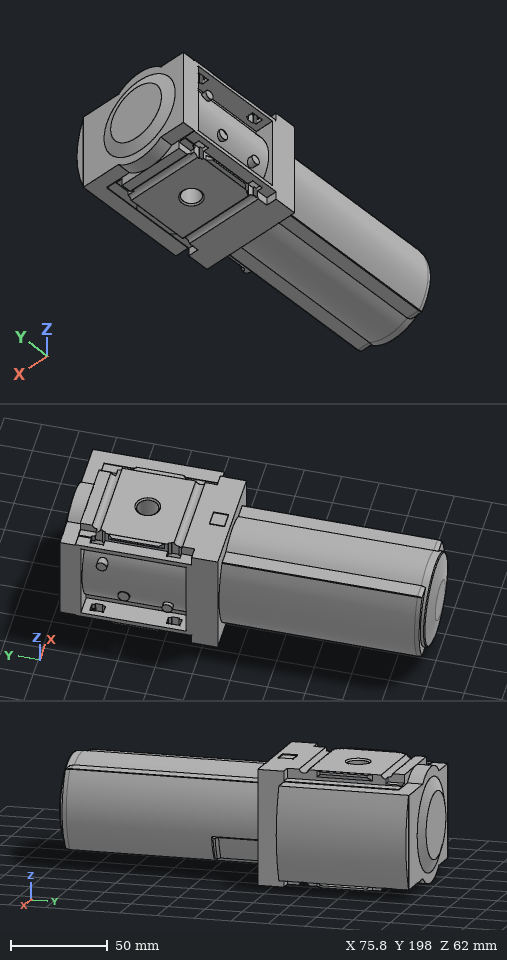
import cadquery as cq
import math


BODY_WIDTH = 62.0
HALF_WIDTH = BODY_WIDTH / 2
FRAME_BACK = 31.0
FRAME_FRONT = -31.0
COLLAR_FRONT = -45.0
FRAME_HALF_HEIGHT = 25.7
BLOCK_HALF_WIDTH = 24.4

PLATE_BACK = 39.3
PLATE_HALF_HEIGHT = 25.3
COVER_BACK = 39.0
COVER_EDGE_X = 40.0
COVER_CROWN_X = 44.8
BUMP_HALF_WIDTH = 15.0

DOME_DIAMETER = 50.4
DOME_BACK = 42.0
DOME_TIP_RADIUS = 18.0

GROOVE_Y = 22.1
GROOVE_HALF_WIDTH = 2.5
GROOVE_DEPTH = 2.0
CORNER_INNER_X = 20.2
CORNER_FLOOR_Z = 26.4
PORT_DIAMETER = 11.45
PORT_MOUTH_DIAMETER = 13.2
PORT_DEPTH = 14.0
LABEL_WIDTH = 8.8
LABEL_LENGTH = 8.0
LABEL_Y = -38.0
LABEL_DEPTH = 0.5

RIB_REACH = 2.6
RIB_TOP_Z = 30.9
RIB_EDGE_Z = 29.7
RIB_BASE_Z = 27.5
RIB_HALF_LENGTH = 15.0
RIB_END_SLOPE = 2.4

SLOT_CENTRE_Y = 20.4
SLOT_LENGTH = 7.2
SLOT_OUTER_X = -27.7
SLOT_INNER_X = -23.3
SLOT_NECK_LENGTH = 4.0
SLOT_NECK_X = -22.5

WINDOW_BACK = 28.0
WINDOW_FRONT = -28.2
WINDOW_HALF_HEIGHT = 23.1
WINDOW_WALL_X = -19.5
CORE_RADIUS = 28.4
PIN_DIAMETER = 5.5
PIN_TIP_X = -29.2
STUD_DIAMETER = 6.2
STUD_TIP_X = -28.2
PINS = [
    (17.5, 11.0, PIN_DIAMETER, PIN_TIP_X),
    (-17.5, -11.0, PIN_DIAMETER, PIN_TIP_X),
    (5.9, -8.65, STUD_DIAMETER, STUD_TIP_X),
]

KNOB_RADIUS = 25.5
KNOB_TIP_Y = -156.0
CAP_DIAMETER = 50.4
CAP_RIM_Y = -153.9
CAP_BEVEL_Y = -153.3
CAP_START_Y = -149.2
CAP_RIM_RADIUS = 24.7
CAP_FLAT_RADIUS = 10.8
GRIP_END_Y = -151.6
GRIP_TAPER = 0.5
GRIP_HALF_WIDTH = 28.3
GRIP_CORNER_X = 21.8
GRIP_HALF_HEIGHT = 21.7
GRIP_EDGE_BREAK = 0.3

LATCH_TOP_Z = -7.5
LATCH_BOTTOM_Z = -19.4
LATCH_THICKNESS = 1.4
LATCH_TIP_HEIGHT = 3.2
LATCH_TIP_BACK_Y = -66.8
LATCH_TIP_LENGTH = 3.8
LATCH_TIP_SLOPE = 1.3
LATCH_EMBED = 2.0


def block(x0, x1, y0, y1, z0, z1):
    """Box between two opposite corners."""
    return cq.Workplane("XY").box(x1 - x0, y1 - y0, z1 - z0, centered=False).translate((x0, y0, z0))


def along_y(profile, y0, y1):
    """Extrude an outline drawn in X and Z from y0 up to y1."""
    return profile.extrude(-(y1 - y0)).translate((0, y0, 0))


def both_faces(shape):
    """The shape together with its mirror image about the XY plane."""
    return shape.union(shape.mirror("XY"))


def both_sides(shape):
    """The shape together with its mirror image about the YZ plane."""
    return shape.union(shape.mirror("YZ"))


def make_frame():
    frame = block(-HALF_WIDTH, HALF_WIDTH, FRAME_FRONT, FRAME_BACK, -FRAME_HALF_HEIGHT, FRAME_HALF_HEIGHT)
    collar = block(-HALF_WIDTH, HALF_WIDTH, COLLAR_FRONT, FRAME_FRONT, -HALF_WIDTH, HALF_WIDTH)
    middle = block(
        -BLOCK_HALF_WIDTH, BLOCK_HALF_WIDTH, FRAME_FRONT, FRAME_BACK, -HALF_WIDTH, HALF_WIDTH
    )
    return frame.union(collar).union(middle)


def make_back_plate():
    plate = block(-HALF_WIDTH, COVER_EDGE_X, FRAME_BACK, PLATE_BACK, -PLATE_HALF_HEIGHT, PLATE_HALF_HEIGHT)
    bump = (
        cq.Workplane("XZ")
        .moveTo(-BUMP_HALF_WIDTH, 0)
        .lineTo(-BUMP_HALF_WIDTH, PLATE_HALF_HEIGHT)
        .threePointArc((0, HALF_WIDTH), (BUMP_HALF_WIDTH, PLATE_HALF_HEIGHT))
        .lineTo(BUMP_HALF_WIDTH, 0)
        .close()
    )
    return plate.union(both_faces(along_y(bump, FRAME_BACK, PLATE_BACK)))


def make_cover():
    flank = block(
        HALF_WIDTH, COVER_EDGE_X, FRAME_FRONT, PLATE_BACK, -PLATE_HALF_HEIGHT, PLATE_HALF_HEIGHT
    )
    crown = (
        cq.Workplane("XZ")
        .moveTo(HALF_WIDTH, -PLATE_HALF_HEIGHT)
        .lineTo(COVER_EDGE_X, -PLATE_HALF_HEIGHT)
        .threePointArc((COVER_CROWN_X, 0), (COVER_EDGE_X, PLATE_HALF_HEIGHT))
        .lineTo(HALF_WIDTH, PLATE_HALF_HEIGHT)
        .close()
    )
    return flank.union(along_y(crown, FRAME_FRONT, COVER_BACK))


def make_back_dome():
    base_radius = DOME_DIAMETER / 2
    return (
        cq.Workplane("XY")
        .moveTo(0, FRAME_BACK)
        .lineTo(base_radius, FRAME_BACK)
        .lineTo(base_radius, PLATE_BACK)
        .lineTo(DOME_TIP_RADIUS, DOME_BACK)
        .lineTo(0, DOME_BACK)
        .close()
        .revolve(360, (0, 0, 0), (0, 1, 0))
    )


def make_grooves():
    grooves = cq.Workplane("YZ")
    for y in (-GROOVE_Y, GROOVE_Y):
        groove = (
            cq.Workplane("YZ")
            .moveTo(y - GROOVE_HALF_WIDTH, HALF_WIDTH)
            .threePointArc((y, HALF_WIDTH - GROOVE_DEPTH), (y + GROOVE_HALF_WIDTH, HALF_WIDTH))
            .close()
            .extrude(BLOCK_HALF_WIDTH, both=True)
        )
        grooves = grooves.union(groove)
    return both_faces(grooves)


def make_corner_pockets():
    pocket = block(CORNER_INNER_X, BLOCK_HALF_WIDTH, GROOVE_Y, FRAME_BACK, CORNER_FLOOR_Z, HALF_WIDTH)
    return both_faces(both_sides(pocket))


def make_ports():
    mouth_depth = (PORT_MOUTH_DIAMETER - PORT_DIAMETER) / 2
    port = (
        cq.Workplane("XZ")
        .moveTo(0, HALF_WIDTH)
        .lineTo(PORT_MOUTH_DIAMETER / 2, HALF_WIDTH)
        .lineTo(PORT_DIAMETER / 2, HALF_WIDTH - mouth_depth)
        .lineTo(PORT_DIAMETER / 2, HALF_WIDTH - PORT_DEPTH)
        .lineTo(0, HALF_WIDTH - PORT_DEPTH)
        .close()
        .revolve(360, (0, 0, 0), (0, 1, 0))
    )
    return both_faces(port)


def make_label_recess():
    return block(
        -LABEL_WIDTH / 2, LABEL_WIDTH / 2,
        LABEL_Y - LABEL_LENGTH / 2, LABEL_Y + LABEL_LENGTH / 2,
        HALF_WIDTH - LABEL_DEPTH, HALF_WIDTH,
    )


def make_ribs():
    """Side ribs with a flat top, an upright edge, a sloping underside and slanted ends."""
    rib_outer_x = BLOCK_HALF_WIDTH + RIB_REACH
    section = (
        cq.Workplane("XZ")
        .moveTo(CORNER_INNER_X, RIB_TOP_Z)
        .lineTo(rib_outer_x, RIB_TOP_Z)
        .lineTo(rib_outer_x, RIB_EDGE_Z)
        .lineTo(BLOCK_HALF_WIDTH, RIB_BASE_Z)
        .lineTo(CORNER_INNER_X, RIB_BASE_Z)
        .close()
    )
    plan = (
        cq.Workplane("XY")
        .moveTo(CORNER_INNER_X, -RIB_HALF_LENGTH)
        .lineTo(BLOCK_HALF_WIDTH, -RIB_HALF_LENGTH)
        .lineTo(rib_outer_x, RIB_END_SLOPE - RIB_HALF_LENGTH)
        .lineTo(rib_outer_x, RIB_HALF_LENGTH - RIB_END_SLOPE)
        .lineTo(BLOCK_HALF_WIDTH, RIB_HALF_LENGTH)
        .lineTo(CORNER_INNER_X, RIB_HALF_LENGTH)
        .close()
        .extrude(HALF_WIDTH)
    )
    rib = along_y(section, -RIB_HALF_LENGTH, RIB_HALF_LENGTH).intersect(plan)
    return both_faces(both_sides(rib))


def make_clamp_slots():
    slots = cq.Workplane("XY")
    for y in (-SLOT_CENTRE_Y, SLOT_CENTRE_Y):
        for inner_x, length in ((SLOT_INNER_X, SLOT_LENGTH), (SLOT_NECK_X, SLOT_NECK_LENGTH)):
            slots = slots.union(
                block(
                    SLOT_OUTER_X, inner_x, y - length / 2, y + length / 2, WINDOW_HALF_HEIGHT, HALF_WIDTH
                )
            )
    return both_faces(slots)


def make_window():
    opening = block(
        -HALF_WIDTH, WINDOW_WALL_X, WINDOW_FRONT, WINDOW_BACK, -WINDOW_HALF_HEIGHT, WINDOW_HALF_HEIGHT
    )
    core = along_y(cq.Workplane("XZ").circle(CORE_RADIUS), WINDOW_FRONT, WINDOW_BACK)
    return opening.cut(core)


def make_pins():
    pins = cq.Workplane("YZ")
    for y, z, diameter, tip_x in PINS:
        pin = (
            cq.Workplane("YZ", origin=(tip_x, y, z))
            .circle(diameter / 2)
            .extrude(WINDOW_WALL_X - tip_x)
        )
        pins = pins.union(pin)
    return pins


def grip_outline(y):
    return (
        cq.Workplane("XZ", origin=(0, y, 0))
        .moveTo(-GRIP_CORNER_X, -GRIP_HALF_HEIGHT)
        .lineTo(GRIP_CORNER_X, -GRIP_HALF_HEIGHT)
        .threePointArc((GRIP_HALF_WIDTH, 0), (GRIP_CORNER_X, GRIP_HALF_HEIGHT))
        .lineTo(-GRIP_CORNER_X, GRIP_HALF_HEIGHT)
        .threePointArc((-GRIP_HALF_WIDTH, 0), (-GRIP_CORNER_X, -GRIP_HALF_HEIGHT))
        .close()
    )


def make_grip():
    """Grip with bowed flanks, broken long edges and a slightly tapered end."""
    straight = grip_outline(COLLAR_FRONT).extrude(COLLAR_FRONT - CAP_START_Y)
    straight = straight.edges("|Y").chamfer(GRIP_EDGE_BREAK)
    end_length = CAP_START_Y - GRIP_END_Y
    taper_angle = math.degrees(math.atan(GRIP_TAPER / end_length))
    end = straight.faces("<Y").wires().toPending().workplane().extrude(
        end_length, combine=False, taper=taper_angle
    )
    return straight.union(end)


def make_knob_barrel():
    return (
        cq.Workplane("XY")
        .moveTo(0, COLLAR_FRONT)
        .lineTo(KNOB_RADIUS, COLLAR_FRONT)
        .lineTo(KNOB_RADIUS, CAP_START_Y)
        .lineTo(CAP_DIAMETER / 2, CAP_BEVEL_Y)
        .lineTo(CAP_RIM_RADIUS, CAP_RIM_Y)
        .lineTo(CAP_FLAT_RADIUS, KNOB_TIP_Y)
        .lineTo(0, KNOB_TIP_Y)
        .close()
        .revolve(360, (0, 0, 0), (0, 1, 0))
    )


def make_latch():
    """Curved tongue that follows the grip flank and ends in a wedge-shaped tip."""
    bulge = GRIP_HALF_WIDTH - GRIP_CORNER_X
    flank_radius = (GRIP_HALF_HEIGHT**2 + bulge**2) / (2 * bulge)
    flank_centre_x = GRIP_HALF_WIDTH - flank_radius
    inner_x = GRIP_HALF_WIDTH - LATCH_EMBED
    outer_x = GRIP_HALF_WIDTH + LATCH_THICKNESS
    tip_x = GRIP_HALF_WIDTH + LATCH_TIP_HEIGHT
    tip_front_y = LATCH_TIP_BACK_Y - LATCH_TIP_LENGTH
    ring = (
        cq.Workplane("XY", origin=(flank_centre_x, 0, 0))
        .polyline([
            (inner_x - flank_centre_x, COLLAR_FRONT),
            (outer_x - flank_centre_x, COLLAR_FRONT),
            (outer_x - flank_centre_x, LATCH_TIP_BACK_Y),
            (tip_x - flank_centre_x, LATCH_TIP_BACK_Y - LATCH_TIP_SLOPE),
            (tip_x - flank_centre_x, tip_front_y + LATCH_TIP_SLOPE),
            (outer_x - flank_centre_x, tip_front_y),
            (inner_x - flank_centre_x, tip_front_y),
        ])
        .close()
        .revolve(360, (0, 0, 0), (0, 1, 0))
    )
    slab = block(0, COVER_EDGE_X, tip_front_y, COLLAR_FRONT, LATCH_BOTTOM_Z, LATCH_TOP_Z)
    return ring.intersect(slab)


def make_body():
    body = make_frame()
    body = body.cut(make_grooves())
    body = body.cut(make_corner_pockets())
    body = body.union(make_ribs())
    body = body.cut(make_window())
    body = body.cut(make_clamp_slots())
    body = body.cut(make_ports())
    body = body.cut(make_label_recess())
    body = body.union(make_pins())
    body = body.union(make_back_plate())
    body = body.union(make_cover())
    return body.union(make_back_dome())


def make_knob():
    return make_knob_barrel().union(make_grip()).union(make_latch())


result = make_body().union(make_knob())